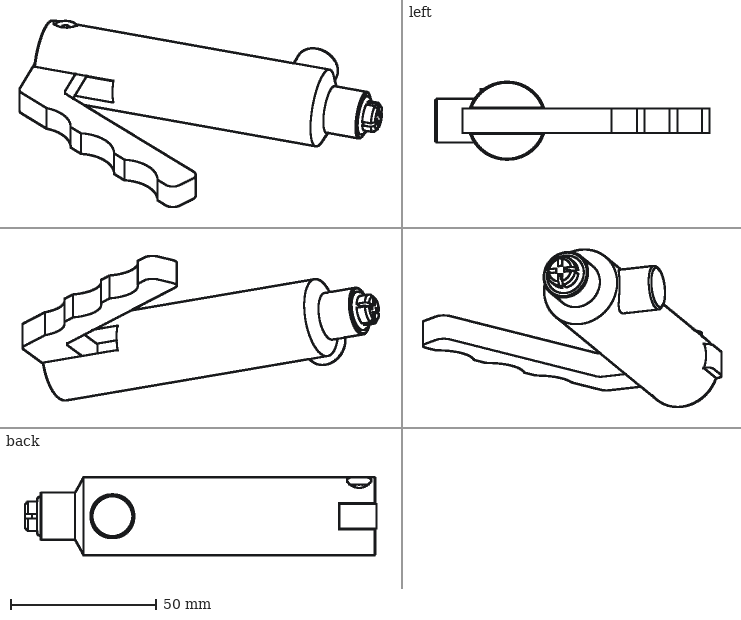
import cadquery as cq
import math

OVERALL_LENGTH = 121.2
BARREL_START_X = 0.5
BARREL_DIA = 26.9
BARREL_EDGE_CHAMFER = 0.4
SHOULDER_START_X = 101.0
SHOULDER_END_X = 103.9
NOSE_DIA = 16.4
NOSE_END_X = 115.8
NOSE_CHAMFER = 0.4
COLLAR_DIA = 13.5
COLLAR_END_X = 116.9
COLLAR_ROUND = 1.03
TIP_DIA = 10.3
TIP_CHAMFER = 1.1

TIP_GROOVE_WIDTH = 1.5
TIP_CORE_DIA = 4.8
TIP_CORE_END_X = 118.8
TIP_SQUARE_CORE = 2.9

PORT_X = 91.0
PORT_DIA = 15.1
PORT_END_Y = 24.8
PORT_CHAMFER = 0.7

PIVOT_X = 6.0
PIVOT_Y = 5.1
PIN_DIA = 4.8
PIN_HOLE_DIA = 5.0
SCREW_HEAD_DIA = 8.0
SCREW_HEAD_TOP_Z = 10.9
COUNTERBORE_DIA = 8.4
COUNTERBORE_FLOOR_Z = 7.9
HEX_ACROSS_FLATS = 2.4
HEX_DEPTH = 1.5

LEVER_THICKNESS = 8.5
LEVER_TOP_Y = 15.3
LEVER_HEAD_WIDTH = 12.8
LEVER_HEAD_FRONT_ROUND = 2.4
LEVER_HEAD_REAR_ROUND = 2.9
ARM_WIDTH = 15.4
ARM_STEP_Y = 0.0
HEEL_Y = -28.6
HEEL_ROUND = 3.0
INNER_CORNER_ROUND = 2.0

GRIP_ANGLE = math.radians(30)
GRIP_THICKNESS = 10.9
GRIP_LENGTH = 81.5
GRIP_END_ROUND = 3.3
LAND_DROP = 1.8
SCALLOP_COUNT = 3
SCALLOP_PITCH = 22.4
SCALLOP_FIRST = 20.6
SCALLOP_RADIUS = 12.8
SCALLOP_RISE = 1.5

SIDE_GAP = 0.2
END_GAP = 0.1
SLOT_WIDTH = LEVER_THICKNESS + 2 * SIDE_GAP
SLOT_LONG_END_X = 29.2
SLOT_SHORT_END_X = LEVER_HEAD_WIDTH + END_GAP
SLOT_STEP_Y = ARM_STEP_Y + END_GAP


def block(x_range, y_range, z_range):
    """Axis-aligned box between the given limits."""
    sizes = [high - low for low, high in (x_range, y_range, z_range)]
    corner = (x_range[0], y_range[0], z_range[0])
    return cq.Workplane("XY").box(*sizes, centered=False).translate(corner)


def rod_x(start_x, end_x, diameter):
    """Round rod on the barrel axis."""
    return cq.Workplane("YZ", origin=(start_x, 0, 0)).circle(diameter / 2).extrude(end_x - start_x)


def pivot_rod(bottom_z, top_z, diameter):
    """Round rod on the pivot axis."""
    plane = cq.Workplane("XY", origin=(PIVOT_X, PIVOT_Y, bottom_z))
    return plane.circle(diameter / 2).extrude(top_z - bottom_z)


def turned_barrel():
    """Barrel, shoulder cone, nose, collar and tip."""
    main = rod_x(BARREL_START_X, SHOULDER_START_X, BARREL_DIA).faces("<X").chamfer(BARREL_EDGE_CHAMFER)
    shoulder = (
        cq.Workplane("YZ", origin=(SHOULDER_START_X, 0, 0))
        .circle(BARREL_DIA / 2)
        .workplane(offset=SHOULDER_END_X - SHOULDER_START_X)
        .circle(NOSE_DIA / 2)
        .loft()
    )
    nose = rod_x(SHOULDER_END_X, NOSE_END_X, NOSE_DIA).faces(">X").chamfer(NOSE_CHAMFER)
    collar = rod_x(NOSE_END_X, COLLAR_END_X, COLLAR_DIA).faces(">X").edges().fillet(COLLAR_ROUND)
    tip = rod_x(COLLAR_END_X, OVERALL_LENGTH, TIP_DIA).faces(">X").chamfer(TIP_CHAMFER)
    return main.union(shoulder).union(nose).union(collar).union(tip.cut(tip_grooves()))


def tip_grooves():
    """Two crossed grooves that leave the core of the tip standing."""
    along = (COLLAR_END_X, OVERALL_LENGTH)
    across = (-TIP_DIA / 2, TIP_DIA / 2)
    narrow = (-TIP_GROOVE_WIDTH / 2, TIP_GROOVE_WIDTH / 2)
    square = (-TIP_SQUARE_CORE / 2, TIP_SQUARE_CORE / 2)
    cross = block(along, across, narrow).union(block(along, narrow, across))
    round_core = rod_x(COLLAR_END_X, TIP_CORE_END_X, TIP_CORE_DIA)
    return cross.cut(round_core).cut(block(along, square, square))


def side_port():
    """Round port from the barrel axis out to +Y."""
    port = cq.Workplane("XZ", origin=(PORT_X, 0, 0)).circle(PORT_DIA / 2).extrude(-PORT_END_Y)
    return port.faces(">Y").chamfer(PORT_CHAMFER)


def lever_slot():
    """Slot open at the rear end: short on the +Y side, long on the -Y side."""
    half = SLOT_WIDTH / 2
    radius = BARREL_DIA / 2
    short_part = block((0, SLOT_SHORT_END_X), (SLOT_STEP_Y, radius), (-half, half))
    long_part = block((0, SLOT_LONG_END_X), (-radius, SLOT_STEP_Y), (-half, half))
    return short_part.union(long_part)


def pivot_screw():
    """Socket head screw whose shank crosses the slot as the hinge pin."""
    head = pivot_rod(COUNTERBORE_FLOOR_Z, SCREW_HEAD_TOP_Z, SCREW_HEAD_DIA)
    hex_across_corners = HEX_ACROSS_FLATS / math.cos(math.radians(30))
    socket = (
        cq.Workplane("XY", origin=(PIVOT_X, PIVOT_Y, SCREW_HEAD_TOP_Z))
        .transformed(rotate=(0, 0, 90))
        .polygon(6, hex_across_corners)
        .extrude(-HEX_DEPTH)
    )
    shank = pivot_rod(-COUNTERBORE_FLOOR_Z, COUNTERBORE_FLOOR_Z, PIN_DIA)
    return head.cut(socket).union(shank)


def make_barrel():
    counterbore = pivot_rod(COUNTERBORE_FLOOR_Z, BARREL_DIA / 2, COUNTERBORE_DIA)
    barrel = turned_barrel().union(side_port())
    return barrel.cut(lever_slot()).cut(counterbore).union(pivot_screw())


def grip_point(along, square):
    """XY position of a point given along the grip from the heel, and square to it."""
    x = along * math.cos(GRIP_ANGLE) + square * math.sin(GRIP_ANGLE)
    y = HEEL_Y - along * math.sin(GRIP_ANGLE) + square * math.cos(GRIP_ANGLE)
    return (x, y)


def scallop_half_chord(depth):
    """Half the width of a finger scallop at a depth below its crest."""
    return math.sqrt(SCALLOP_RADIUS**2 - (SCALLOP_RADIUS - depth) ** 2)


def make_lever():
    inner_corner_y = HEEL_Y + GRIP_THICKNESS / math.cos(GRIP_ANGLE) - ARM_WIDTH * math.tan(GRIP_ANGLE)
    inner_corner = (ARM_WIDTH, inner_corner_y)
    heel = (0, HEEL_Y)
    grip_end_top = grip_point(GRIP_LENGTH, GRIP_THICKNESS)
    grip_end_bottom = grip_point(GRIP_LENGTH, -LAND_DROP)
    head_left = (0, LEVER_TOP_Y)
    head_right = (LEVER_HEAD_WIDTH, LEVER_TOP_Y)

    outline = cq.Workplane("XY", origin=(0, 0, -LEVER_THICKNESS / 2)).moveTo(*heel)
    for index in range(SCALLOP_COUNT):
        start_level = 0 if index == 0 else -LAND_DROP
        middle = SCALLOP_FIRST + index * SCALLOP_PITCH
        start = grip_point(middle - scallop_half_chord(SCALLOP_RISE - start_level), start_level)
        crest = grip_point(middle, SCALLOP_RISE)
        end = grip_point(middle + scallop_half_chord(SCALLOP_RISE + LAND_DROP), -LAND_DROP)
        outline = outline.lineTo(*start).threePointArc(crest, end)
    plate = (
        outline.lineTo(*grip_end_bottom)
        .lineTo(*grip_end_top)
        .lineTo(*inner_corner)
        .lineTo(ARM_WIDTH, ARM_STEP_Y)
        .lineTo(LEVER_HEAD_WIDTH, ARM_STEP_Y)
        .lineTo(*head_right)
        .lineTo(*head_left)
        .close()
        .extrude(LEVER_THICKNESS)
    )

    corner_rounds = [
        (heel, HEEL_ROUND),
        (grip_end_bottom, GRIP_END_ROUND),
        (grip_end_top, GRIP_END_ROUND),
        (inner_corner, INNER_CORNER_ROUND),
        (head_right, LEVER_HEAD_FRONT_ROUND),
        (head_left, LEVER_HEAD_REAR_ROUND),
    ]
    for (x, y), radius in corner_rounds:
        plate = plate.edges(cq.selectors.NearestToPointSelector((x, y, 0))).fillet(radius)

    pin_hole = pivot_rod(-LEVER_THICKNESS / 2, LEVER_THICKNESS / 2, PIN_HOLE_DIA)
    return plate.cut(pin_hole)


barrel = make_barrel()
lever = make_lever()
result = cq.Compound.makeCompound([barrel.val(), lever.val()])